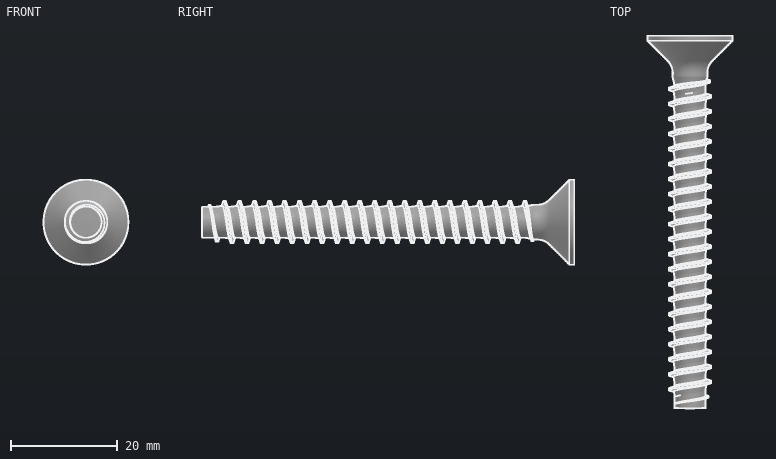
import cadquery as cq
import math

LENGTH = 70.0
HEAD_RADIUS = 8.0
HEAD_RIM = 0.95
HEAD_CONE_ANGLE = 45.0
NECK_RADIUS = 3.3
NECK_END = 7.7
NECK_FILLET = 3.0
CORE_RADIUS = 2.93
CORE_START = 9.3
TIP_CONE_HEIGHT = 0.1

PITCH = 2.82
CREST_RADIUS = 4.0
SHOULDER_RADIUS = 3.1
FOOT_RADIUS = CORE_RADIUS - 0.03
CREST_HALF_WIDTH = 0.17
SHOULDER_HALF_WIDTH = 0.42
FOOT_TOWARD_HEAD = 0.6
FOOT_TOWARD_TIP = 1.7
THREAD_START = 6.4
THREAD_TURNS = 22.2
END_WIDTH_RATIO = 0.4
RUNOUT_TURNS = 1.0
SINK = CREST_RADIUS - SHOULDER_RADIUS
CREST_DEPTH_ON_X = 11.4
POINTS_PER_TURN = 16


def make_blank():
    """Head, neck, core and shallow tip cone, turned about the Y axis."""
    head_slope = math.tan(math.radians(HEAD_CONE_ANGLE))
    cone_end = HEAD_RIM + (HEAD_RADIUS - NECK_RADIUS) / head_slope
    half_angle = math.radians(HEAD_CONE_ANGLE / 2)
    fillet_length = NECK_FILLET * math.tan(half_angle)
    out_cone = fillet_length * math.sin(math.radians(HEAD_CONE_ANGLE))
    along_cone = fillet_length * math.cos(math.radians(HEAD_CONE_ANGLE))
    fillet_end = cone_end + fillet_length
    fillet_axis = NECK_RADIUS + NECK_FILLET
    fillet_middle = (
        fillet_axis - NECK_FILLET * math.cos(half_angle),
        -(fillet_end - NECK_FILLET * math.sin(half_angle)),
    )
    return (
        cq.Workplane("XY")
        .lineTo(HEAD_RADIUS, 0)
        .lineTo(HEAD_RADIUS, -HEAD_RIM)
        .lineTo(NECK_RADIUS + out_cone, -(cone_end - along_cone))
        .threePointArc(fillet_middle, (NECK_RADIUS, -fillet_end))
        .lineTo(NECK_RADIUS, -NECK_END)
        .lineTo(CORE_RADIUS, -CORE_START)
        .lineTo(CORE_RADIUS, -(LENGTH - TIP_CONE_HEIGHT))
        .lineTo(0, -LENGTH)
        .close()
        .revolve(axisStart=(0, 0, 0), axisEnd=(0, 1, 0))
    )


def thread_point(turn, radius, offset):
    """Point of a profile corner after the given number of turns from the thread start."""
    rise = min(1.0, turn / RUNOUT_TURNS, (THREAD_TURNS - turn) / RUNOUT_TURNS)
    depth = THREAD_START + turn * PITCH
    angle = 2 * math.pi * (depth - CREST_DEPTH_ON_X) / PITCH
    sunk_radius = radius - SINK * (1 - rise)
    width_ratio = END_WIDTH_RATIO + (1 - END_WIDTH_RATIO) * rise
    return cq.Vector(
        sunk_radius * math.cos(angle),
        -(depth + offset * width_ratio),
        sunk_radius * math.sin(angle),
    )


def thread_rail(radius, offset, first_turn, last_turn):
    """Helical edge followed by one profile corner between two turns."""
    span = last_turn - first_turn
    steps = math.ceil(span * POINTS_PER_TURN)
    turns = [first_turn + span * step / steps for step in range(steps + 1)]
    return cq.Edge.makeSpline([thread_point(turn, radius, offset) for turn in turns])


def make_ridge(first_turn, last_turn):
    """Solid stretch of thread: ruled flanks between helical rails, closed by flat end caps."""
    profile = [
        (FOOT_RADIUS, -FOOT_TOWARD_HEAD),
        (SHOULDER_RADIUS, -SHOULDER_HALF_WIDTH),
        (CREST_RADIUS, -CREST_HALF_WIDTH),
        (CREST_RADIUS, CREST_HALF_WIDTH),
        (SHOULDER_RADIUS, SHOULDER_HALF_WIDTH),
        (FOOT_RADIUS, FOOT_TOWARD_TIP),
    ]
    rails = [thread_rail(radius, offset, first_turn, last_turn) for radius, offset in profile]
    faces = [
        cq.Face.makeRuledSurface(rail, next_rail)
        for rail, next_rail in zip(rails, rails[1:] + rails[:1])
    ]
    for turn in (first_turn, last_turn):
        corners = [thread_point(turn, radius, offset) for radius, offset in profile]
        faces.append(cq.Face.makeFromWires(cq.Wire.makePolygon(corners, close=True)))
    ridge = cq.Solid.makeSolid(cq.Shell.makeShell(faces))
    return ridge.fix()


def make_thread_pieces():
    """Rising start, even middle stretch and fading end of the thread."""
    ends = [0.0, RUNOUT_TURNS, THREAD_TURNS - RUNOUT_TURNS, THREAD_TURNS]
    return [make_ridge(first, last) for first, last in zip(ends, ends[1:])]


screw = make_blank().val().fuse(*make_thread_pieces())
result = cq.Workplane(screw.Solids()[0])